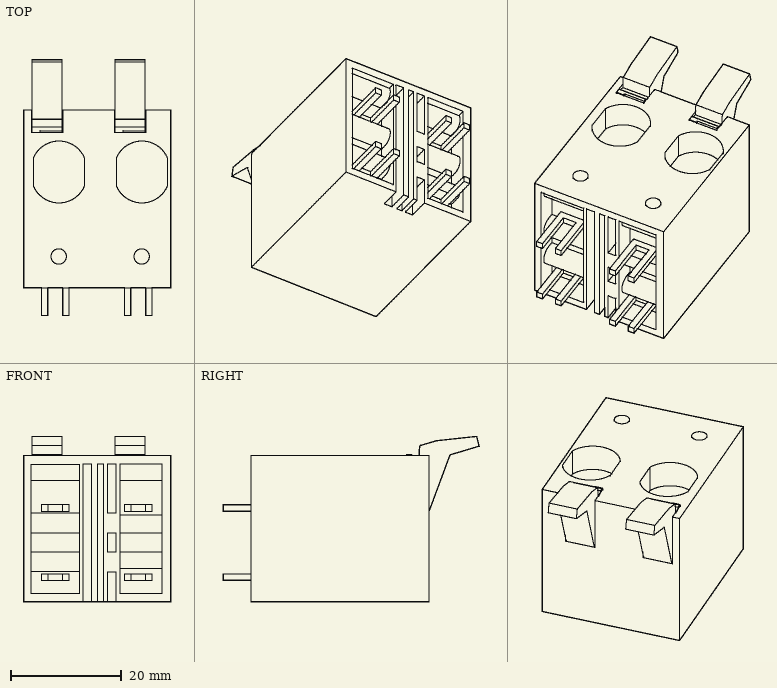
import cadquery as cq
import math


WIDTH = 26.6
DEPTH = 32.2
HEIGHT = 26.45
POLE_PITCH = 15.0
POLES = 2

POCKET_DEPTH = 4.0
POCKET_FLOOR = 1.5
LEFT_POCKET = (1.35, 10.1, 24.8)
RIGHT_POCKET = (17.45, 24.95, 24.92)

RIB_RADIUS = 1.8
RIB_AXIS_Y = 2.8
UPPER_RIB_Z = 23.75
MIDDLE_RIB_Z = 14.25
LOWER_RIB_Z = 7.25
RIGHT_MIDDLE_RIB_TOP = 15.68
RIGHT_LOWER_RIB_BOTTOM = 6.0

SLOT_TOP = RIGHT_POCKET[2]
OPEN_SLOTS = [(10.7, 12.3), (13.35, 14.45)]
BRIDGED_SLOT = (15.15, 16.7)
BRIDGED_SLOT_WINDOWS = [(0, 5.4), (9.0, 12.5), (16.05, SLOT_TOP)]

WIRE_X = 6.4
WIRE_Y = 20.95
WIRE_WIDTH = 9.25
WIRE_LENGTH = 11.2
WIRE_SIDE = 5.0
WIRE_DEPTH = 5.05
TEST_X = 6.35
TEST_Y = 5.7
TEST_DIAMETER = 2.77
TEST_DEPTH = WIRE_DEPTH

LEVER_SLOT_X = 1.4
LEVER_SLOT_WIDTH = 5.7
LEVER_SLOT_FRONT = 28.05
LEVER_SLOT_FLOOR = 16.3

LEVER_WIDTH = 5.45
LEVER_X = LEVER_SLOT_X + (LEVER_SLOT_WIDTH - LEVER_WIDTH) / 2
LEVER_TOP = 29.9
LEVER_REAR = 41.25
GRIP_PEAK = (33.52, 29.15)
GRIP_FRONT = (30.5, 28.25)
GRIP_TIP_Y = 40.8
GRIP_TIP_BOTTOM = 28.1
GRIP_NECK = (35.97, 26.55)
NOSE_Y = 30.4
NOSE_TOP = 27.37
TOE_TOP = 26.6
TOE_FLAT_END = 29.05
TOE_RADIUS = 1.25
TOE_CREST_ANGLE = math.radians(62)
GUTTER_ANGLE = math.radians(10)
TOE_NOTCH_X = 1.45
TOE_NOTCH_DEPTH = 0.32
TOE_NOTCH_HEIGHT = 1.85
TOE_NOTCH_LEAN = math.radians(15)
TOE_NOTCH_UNDERCUT = TOE_NOTCH_HEIGHT * math.tan(TOE_NOTCH_LEAN)

PIN_X = 3.2
PIN_WIDTH = 5.05
PIN_WIRE = 1.2
PIN_PROJECTION = 5.0
PIN_LEVELS = [3.9, 16.35]


def box(x0, x1, y0, y1, z0, z1):
    return cq.Workplane("XY").box(x1 - x0, y1 - y0, z1 - z0, centered=False).translate((x0, y0, z0))


def rib(x0, x1, axis_z, bottom=None, top=None):
    """Bar from the pocket's back wall with a round nose, optionally trimmed flat below or above."""
    low = axis_z - RIB_RADIUS
    high = axis_z + RIB_RADIUS
    root = box(x0, x1, RIB_AXIS_Y, POCKET_DEPTH, low, high)
    nose = (
        cq.Workplane("YZ", origin=(x0, 0, 0))
        .center(RIB_AXIS_Y, axis_z)
        .circle(RIB_RADIUS)
        .extrude(x1 - x0)
        .intersect(box(x0, x1, 0, RIB_AXIS_Y, low, high))
    )
    bottom = low if bottom is None else bottom
    top = high if top is None else top
    return root.union(nose).intersect(box(x0, x1, 0, POCKET_DEPTH, bottom, top))


def pocket(bounds, middle_rib_top=None, lower_rib_bottom=None):
    """Space of one front pocket, with its three ribs left standing."""
    x0, x1, top = bounds
    return (
        box(x0, x1, 0, POCKET_DEPTH, POCKET_FLOOR, top)
        .cut(rib(x0, x1, UPPER_RIB_Z))
        .cut(rib(x0, x1, MIDDLE_RIB_Z, top=middle_rib_top))
        .cut(rib(x0, x1, LOWER_RIB_Z, bottom=lower_rib_bottom))
    )


def wire_opening(x):
    """Opening with straight sides and arched ends."""
    half_width = WIRE_WIDTH / 2
    half_length = WIRE_LENGTH / 2
    half_side = WIRE_SIDE / 2
    return (
        cq.Workplane("XY", origin=(x, WIRE_Y, HEIGHT))
        .moveTo(-half_width, -half_side)
        .threePointArc((0, -half_length), (half_width, -half_side))
        .lineTo(half_width, half_side)
        .threePointArc((0, half_length), (-half_width, half_side))
        .close()
        .extrude(-WIRE_DEPTH)
    )


def test_hole(x):
    return cq.Workplane("XY", origin=(x, TEST_Y, HEIGHT)).circle(TEST_DIAMETER / 2).extrude(-TEST_DEPTH)


def lever_slot(x):
    return box(x, x + LEVER_SLOT_WIDTH, LEVER_SLOT_FRONT, DEPTH, LEVER_SLOT_FLOOR, HEIGHT)


def make_housing():
    body = box(0, WIDTH, 0, DEPTH, 0, HEIGHT)
    body = body.cut(pocket(LEFT_POCKET))
    body = body.cut(pocket(RIGHT_POCKET, RIGHT_MIDDLE_RIB_TOP, RIGHT_LOWER_RIB_BOTTOM))
    for x0, x1 in OPEN_SLOTS:
        body = body.cut(box(x0, x1, 0, POCKET_DEPTH, 0, SLOT_TOP))
    for z0, z1 in BRIDGED_SLOT_WINDOWS:
        body = body.cut(box(*BRIDGED_SLOT, 0, POCKET_DEPTH, z0, z1))
    for pole in range(POLES):
        offset = pole * POLE_PITCH
        body = body.cut(wire_opening(WIRE_X + offset))
        body = body.cut(test_hole(TEST_X + offset))
        body = body.cut(lever_slot(LEVER_SLOT_X + offset))
    return body


def make_lever(x):
    """Lever with its grip above the housing and its foot filling the depth of the slot."""
    hollow_centre_y = TOE_FLAT_END + TOE_RADIUS * math.sin(TOE_CREST_ANGLE)
    hollow_centre_z = TOE_TOP + TOE_RADIUS * math.cos(TOE_CREST_ANGLE)

    def hollow_point(angle):
        return (
            hollow_centre_y - TOE_RADIUS * math.sin(angle),
            hollow_centre_z - TOE_RADIUS * math.cos(angle),
        )

    gutter_y, gutter_z = hollow_point(GUTTER_ANGLE)
    nose_foot_z = gutter_z - (NOSE_Y - gutter_y) * math.tan(GUTTER_ANGLE)
    body = (
        cq.Workplane("YZ", origin=(x, 0, 0))
        .moveTo(LEVER_SLOT_FRONT, LEVER_SLOT_FLOOR)
        .lineTo(LEVER_SLOT_FRONT, TOE_TOP)
        .lineTo(TOE_FLAT_END, TOE_TOP)
        .threePointArc(hollow_point((TOE_CREST_ANGLE + GUTTER_ANGLE) / 2), (gutter_y, gutter_z))
        .lineTo(NOSE_Y, nose_foot_z)
        .lineTo(NOSE_Y, NOSE_TOP)
        .lineTo(*GRIP_FRONT)
        .lineTo(*GRIP_PEAK)
        .lineTo(GRIP_TIP_Y, LEVER_TOP)
        .lineTo(LEVER_REAR, GRIP_TIP_BOTTOM)
        .lineTo(*GRIP_NECK)
        .lineTo(DEPTH, LEVER_SLOT_FLOOR)
        .close()
        .extrude(LEVER_WIDTH)
    )
    notch_rear = LEVER_SLOT_FRONT + TOE_NOTCH_DEPTH
    notch_floor = TOE_TOP - TOE_NOTCH_HEIGHT
    notch = (
        cq.Workplane("YZ", origin=(x + TOE_NOTCH_X, 0, 0))
        .moveTo(LEVER_SLOT_FRONT, notch_floor)
        .lineTo(LEVER_SLOT_FRONT, TOE_TOP)
        .lineTo(notch_rear, TOE_TOP)
        .lineTo(notch_rear + TOE_NOTCH_UNDERCUT, notch_floor)
        .close()
        .extrude(LEVER_WIDTH - TOE_NOTCH_X)
    )
    return body.cut(notch)


def make_pin(x, z):
    """U of square wire: base against the pocket's back wall, prongs out through the front."""
    top = z + PIN_WIRE
    outline = box(x, x + PIN_WIDTH, -PIN_PROJECTION, POCKET_DEPTH, z, top)
    gap = box(x + PIN_WIRE, x + PIN_WIDTH - PIN_WIRE, -PIN_PROJECTION, POCKET_DEPTH - PIN_WIRE, z, top)
    return outline.cut(gap)


housing = make_housing()
levers = [make_lever(LEVER_X + pole * POLE_PITCH) for pole in range(POLES)]
pins = [make_pin(PIN_X + pole * POLE_PITCH, z) for pole in range(POLES) for z in PIN_LEVELS]

result = cq.Compound.makeCompound([body.val() for body in [housing, *levers, *pins]])